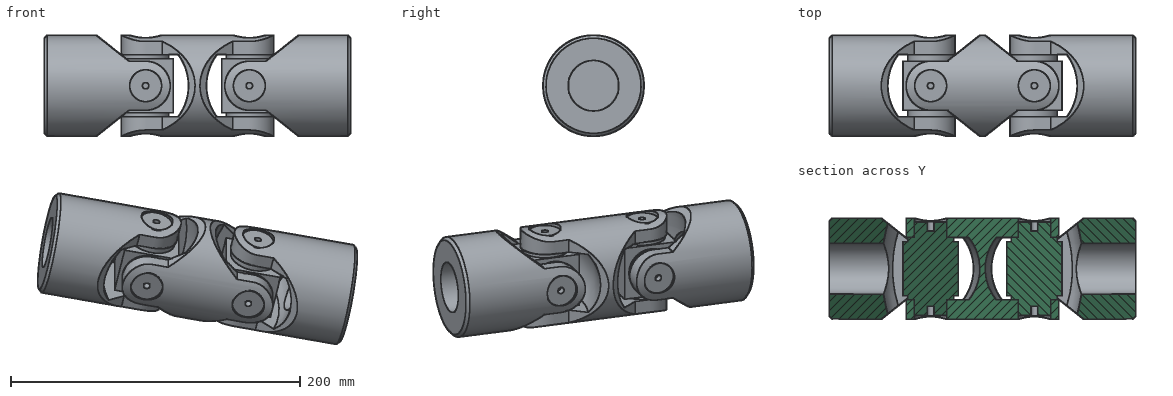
import cadquery as cq


LENGTH = 212.0
DIAMETER = 70.0
SIDES = (-1, 1)
PIVOT_X = 35.8
RADIUS = DIAMETER / 2
END_REACH = LENGTH / 2 - PIVOT_X

ARM_RADIUS = 17.0
ARM_STRAIGHT = 11.5
SHOULDER_REACH = 34.1
SLOT_HALF_WIDTH = 21.5
SLOT_RADIUS = 34.0
SLOT_RIM_RADIUS = 28.5

BORE_DIAMETER = 35.0
END_CHAMFER = 2.1

BLOCK_SIZE = (38.4, 34.0, 37.5)
COLLAR_DIAMETER = 32.0
PIN_DIAMETER = 22.0
PIN_REACH = 32.5
OIL_HOLE_DIAMETER = 4.5
OIL_HOLE_DEPTH = 6.4


def cylinder_on_axis(axis, diameter, half_length):
    """Cylinder through the origin along the axis "Y" or "Z", centred on it."""
    plane = {"Y": "XZ", "Z": "XY"}[axis]
    return cq.Workplane(plane).circle(diameter / 2).extrude(half_length, both=True)


def arm_outline(reach):
    """Prism along Z: rounded arm that widens over sloping shoulders to the full diameter."""
    return (
        cq.Workplane("XY")
        .moveTo(0, ARM_RADIUS)
        .threePointArc((-ARM_RADIUS, 0), (0, -ARM_RADIUS))
        .lineTo(ARM_STRAIGHT, -ARM_RADIUS)
        .lineTo(SHOULDER_REACH, -RADIUS)
        .lineTo(reach, -RADIUS)
        .lineTo(reach, RADIUS)
        .lineTo(SHOULDER_REACH, RADIUS)
        .lineTo(ARM_STRAIGHT, ARM_RADIUS)
        .close()
        .extrude(RADIUS, both=True)
    )


def fork_slot():
    """Space between the two arms: a slice of a barrel turned about the Y axis through the pivot."""
    barrel = (
        cq.Workplane("XY")
        .moveTo(0, -RADIUS)
        .lineTo(SLOT_RIM_RADIUS, -RADIUS)
        .threePointArc((SLOT_RADIUS, 0), (SLOT_RIM_RADIUS, RADIUS))
        .lineTo(0, RADIUS)
        .close()
        .revolve(360, (0, 0, 0), (0, 1, 0))
    )
    slice_between_arms = cq.Workplane("XY").box(DIAMETER, DIAMETER, 2 * SLOT_HALF_WIDTH)
    return barrel.intersect(slice_between_arms)


def fork_cutter():
    """Everything removed from a fork: the slot and the pin hole through both arms."""
    return fork_slot().union(cylinder_on_axis("Z", PIN_DIAMETER, RADIUS))


def round_bar(start, end):
    """Bar of the full diameter along X between two positions."""
    return cq.Workplane("YZ").workplane(offset=start).circle(RADIUS).extrude(end - start)


def end_yoke(side):
    """Bored end yoke with pins along Y; side is -1 for the left one and 1 for the right one."""
    bar = round_bar(-ARM_RADIUS, END_REACH).faces(">X").chamfer(END_CHAMFER)
    bore = cq.Workplane("YZ").circle(BORE_DIAMETER / 2).extrude(END_REACH)
    yoke = bar.intersect(arm_outline(END_REACH)).cut(fork_cutter()).cut(bore)
    yoke = yoke.rotate((0, 0, 0), (1, 0, 0), 90)
    if side < 0:
        yoke = yoke.mirror("YZ")
    return yoke.translate((side * PIVOT_X, 0, 0))


def middle_yoke():
    """Two forks back to back on a thin solid web, pins along Z."""
    tip_x = PIVOT_X + ARM_RADIUS
    half_outline = arm_outline(PIVOT_X).translate((-PIVOT_X, 0, 0))
    outline = half_outline.union(half_outline.mirror("YZ")).clean()
    yoke = round_bar(-tip_x, tip_x).intersect(outline)
    for side in SIDES:
        yoke = yoke.cut(fork_cutter().translate((side * PIVOT_X, 0, 0)))
    return yoke


def oil_holes(axis):
    """Blind holes in the two pin ends on an axis."""
    full_length = cylinder_on_axis(axis, OIL_HOLE_DIAMETER, PIN_REACH)
    return full_length.cut(cylinder_on_axis(axis, OIL_HOLE_DIAMETER, PIN_REACH - OIL_HOLE_DEPTH))


def cross(side):
    """Block with a collar and a pin on four sides and an oil hole in each pin end."""
    body = cq.Workplane("XY").box(*BLOCK_SIZE)
    for axis in ("Y", "Z"):
        body = body.union(cylinder_on_axis(axis, COLLAR_DIAMETER, SLOT_HALF_WIDTH))
        body = body.union(cylinder_on_axis(axis, PIN_DIAMETER, PIN_REACH))
    for axis in ("Y", "Z"):
        body = body.cut(oil_holes(axis))
    return body.translate((side * PIVOT_X, 0, 0))


end_yokes = [end_yoke(side).val() for side in SIDES]
crosses = [cross(side).val() for side in SIDES]
result = cq.Compound.makeCompound([middle_yoke().val(), *end_yokes, *crosses])